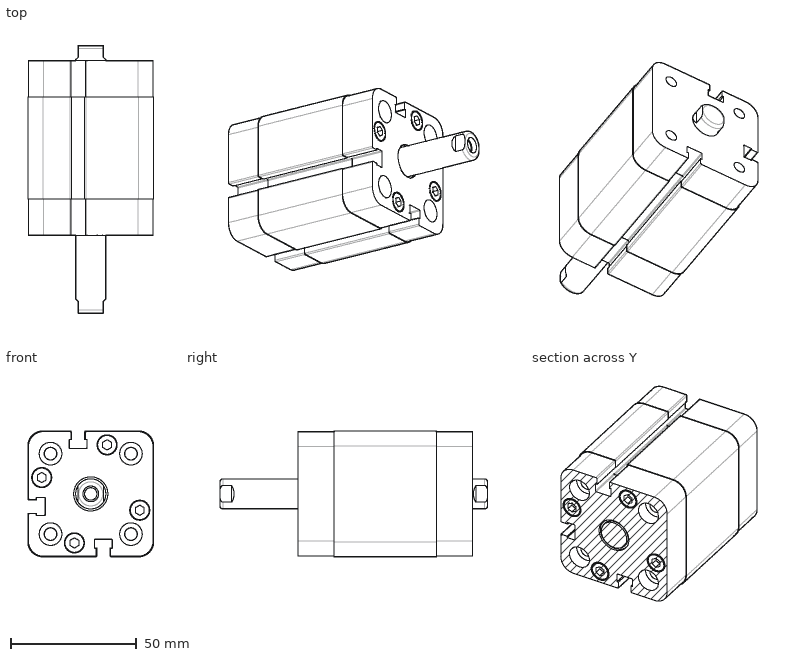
import cadquery as cq
import math


TUBE_SIZE = 50.1
CAP_SIZE = 49.6
CORNER_RADIUS = 6.0
HOUSING_LENGTH = 69.5
CAP_LENGTH = 14.4
TUBE_LENGTH = HOUSING_LENGTH - 2 * CAP_LENGTH

SLOT_OFFSET = -5.0
SLOT_WIDTH = 7.0
CAP_SLOT_FLOOR = 18.1
TUBE_SLOT_FLOOR = 18.0
SLOT_SHOULDER = 21.6
SLOT_FLOOR_RADIUS = 0.3
LIP_RADIUS = 0.5
CAP_NECK = (-7.85, -2.15)
TUBE_NECK = (-7.75, -2.4)
SLOT_TURNS = (0, 90, 180)

MOUNT_OFFSET = 16.0
MOUNT_HOLE_DIAMETER = 4.92
MOUNT_BORE_DIAMETER = 9.0
MOUNT_BORE_DEPTH = 5.5

SCREW_X = 6.5
SCREW_Z = 19.5
SCREW_COUNT = 4
SCREW_SEAT_DIAMETER = 8.0
SCREW_HEAD_DIAMETER = 7.5
SCREW_GAP_DEPTH = 0.5
HEX_SIDES = 6
SCREW_HEX_WIDTH = 3.5
SCREW_HEX_DEPTH = 3.0

ROD_DIAMETER = 12.0
ROD_FRONT = 31.0
ROD_BACK = 6.0
ROD_END_RADIUS = 1.2
ROD_SEAL_DIAMETER = 13.6
ROD_SEAL_DEPTH = 1.0
FLAT_WIDTH = 10.0
FLAT_LENGTH = 4.65
THREAD_DIAMETER = 4.92
THREAD_RELIEF_DIAMETER = 6.25
THREAD_RELIEF_DEPTH = 2.2
THREAD_DEPTH = 12.0
DRILL_POINT_ANGLE = 118.0


def plane_at(y):
    """XZ sketch plane at the given Y, with its normal pointing to +Y and local y along -Z."""
    return cq.Plane(origin=(0, y, 0), xDir=(1, 0, 0), normal=(0, 1, 0))


def cylinder(diameter, y_start, length, x=0.0, z=0.0):
    """Cylinder along Y that starts at y_start and runs towards +Y."""
    return cq.Workplane(plane_at(y_start)).center(x, -z).circle(diameter / 2).extrude(length)


def turned(shape, angle):
    """Copy turned about the rod axis; +90 degrees takes the top side to the left side."""
    return shape.rotate((0, 0, 0), (0, -1, 0), angle)


def slot_cutter(size, neck, floor, y_start, length):
    """T-slot with rounded lips, opening at the top of a section of the given size."""
    top = size / 2
    tangent = top - LIP_RADIUS
    left, right = neck
    lip_middle = LIP_RADIUS * (1 - math.sqrt(0.5))
    wide = (
        cq.Workplane(plane_at(y_start))
        .center(SLOT_OFFSET, -(floor + SLOT_SHOULDER) / 2)
        .rect(SLOT_WIDTH, SLOT_SHOULDER - floor)
        .extrude(length)
        .edges("|Y and <Z")
        .fillet(SLOT_FLOOR_RADIUS)
    )
    mouth = (
        cq.Workplane(plane_at(y_start))
        .moveTo(left, -floor - SLOT_FLOOR_RADIUS)
        .lineTo(left, -tangent)
        .threePointArc((left - lip_middle, -(top - lip_middle)), (left - LIP_RADIUS, -top))
        .lineTo(right + LIP_RADIUS, -top)
        .threePointArc((right + lip_middle, -(top - lip_middle)), (right, -tangent))
        .lineTo(right, -floor - SLOT_FLOOR_RADIUS)
        .close()
        .extrude(length)
    )
    return wide.union(mouth)


def slotted_section(size, neck, floor, y_start, length):
    """Rounded square length of housing with its three T-slots."""
    section = (
        cq.Workplane(plane_at(y_start))
        .rect(size, size)
        .extrude(length)
        .edges("|Y")
        .fillet(CORNER_RADIUS)
    )
    cutter = slot_cutter(size, neck, floor, y_start, length)
    for angle in SLOT_TURNS:
        section = section.cut(turned(cutter, angle))
    return section


def make_housing():
    front_cap = slotted_section(CAP_SIZE, CAP_NECK, CAP_SLOT_FLOOR, 0, CAP_LENGTH)
    tube = slotted_section(TUBE_SIZE, TUBE_NECK, TUBE_SLOT_FLOOR, CAP_LENGTH, TUBE_LENGTH)
    back_cap = slotted_section(CAP_SIZE, CAP_NECK, CAP_SLOT_FLOOR, CAP_LENGTH + TUBE_LENGTH, CAP_LENGTH)
    return front_cap.union(tube).union(back_cap)


def cut_mounting_holes(body):
    for x in (-MOUNT_OFFSET, MOUNT_OFFSET):
        for z in (-MOUNT_OFFSET, MOUNT_OFFSET):
            body = body.cut(cylinder(MOUNT_HOLE_DIAMETER, 0, HOUSING_LENGTH, x, z))
            body = body.cut(cylinder(MOUNT_BORE_DIAMETER, 0, MOUNT_BORE_DEPTH, x, z))
    return body


def hex_socket(x, z):
    """Hexagon socket with two corners pointing along Z."""
    half_side_angle = 180 / HEX_SIDES
    across_corners = SCREW_HEX_WIDTH / math.cos(math.radians(half_side_angle))
    socket = cq.Workplane(plane_at(0)).polygon(HEX_SIDES, across_corners).extrude(SCREW_HEX_DEPTH)
    return turned(socket, half_side_angle).translate((x, 0, z))


def cut_screw_outlines(body):
    """Flush cap screws: a narrow gap around each head and a hexagon socket in it."""
    for index in range(SCREW_COUNT):
        angle = math.radians(index * 360 / SCREW_COUNT)
        x = SCREW_X * math.cos(angle) - SCREW_Z * math.sin(angle)
        z = SCREW_X * math.sin(angle) + SCREW_Z * math.cos(angle)
        seat = cylinder(SCREW_SEAT_DIAMETER, 0, SCREW_GAP_DEPTH, x, z)
        head = cylinder(SCREW_HEAD_DIAMETER, 0, SCREW_GAP_DEPTH, x, z)
        body = body.cut(seat.cut(head)).cut(hex_socket(x, z))
    return body


def flat_cutter(tip_y, inward):
    """Cutter for one wrench flat on the +X side, with a 45 degree run-out."""
    half_flat = FLAT_WIDTH / 2
    depth = ROD_DIAMETER / 2 - half_flat
    flat_end = tip_y + inward * FLAT_LENGTH
    return (
        cq.Workplane("XY", origin=(0, 0, -ROD_DIAMETER / 2))
        .moveTo(half_flat, tip_y)
        .lineTo(half_flat, flat_end)
        .lineTo(half_flat + depth, flat_end + inward * depth)
        .lineTo(half_flat + depth, tip_y)
        .close()
        .extrude(ROD_DIAMETER)
    )


def thread_cutter():
    """Tap hole with a plain relief bore at its mouth and a conical bottom, in the rod's front end."""
    radius = THREAD_DIAMETER / 2
    point_length = radius / math.tan(math.radians(DRILL_POINT_ANGLE / 2))
    point_start = -ROD_FRONT + THREAD_DEPTH
    relief = cylinder(THREAD_RELIEF_DIAMETER, -ROD_FRONT, THREAD_RELIEF_DEPTH)
    hole = cylinder(THREAD_DIAMETER, -ROD_FRONT, THREAD_DEPTH)
    point = cq.Workplane(cq.Solid.makeCone(radius, 0, point_length, (0, point_start, 0), (0, 1, 0)))
    return relief.union(hole).union(point)


def make_rod():
    length = ROD_FRONT + HOUSING_LENGTH + ROD_BACK
    rod = cylinder(ROD_DIAMETER, -ROD_FRONT, length).faces("<Y or >Y").edges().fillet(ROD_END_RADIUS)
    for tip_y, inward in ((-ROD_FRONT, 1), (HOUSING_LENGTH + ROD_BACK, -1)):
        flat = flat_cutter(tip_y, inward)
        rod = rod.cut(flat).cut(flat.mirror("YZ"))
    return rod


housing = cut_screw_outlines(cut_mounting_holes(make_housing()))
housing = housing.cut(cylinder(ROD_SEAL_DIAMETER, 0, ROD_SEAL_DEPTH))
result = housing.union(make_rod()).cut(thread_cutter())